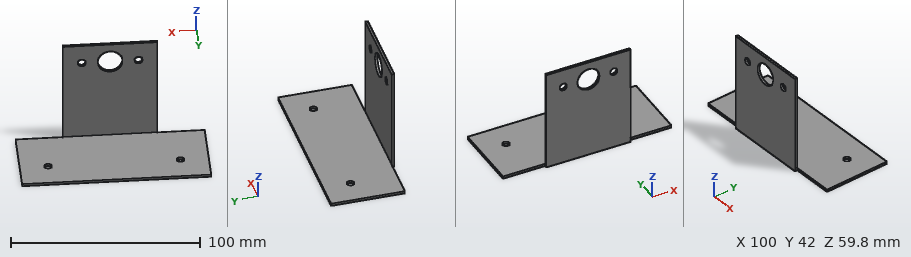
import cadquery as cq

base_length = 100.0
overall_depth = 42.0
overall_height = 59.8
sheet_thickness = 1.5

upright_width = 50.0

base_hole_diameter = 4.0
base_hole_spacing = 70.0
base_hole_from_back = 15.0

bore_diameter = 13.0
bore_below_top = 11.0
screw_hole_diameter = 4.2
screw_hole_spacing = 30.0


def corner_block(width, depth, height):
    """Block centered in X, starting at Y = 0 and Z = 0."""
    return cq.Workplane("XY").box(width, depth, height, centered=(True, False, False))


def mirrored_pair(spacing, other_coordinate):
    """Two points placed symmetrically about X = 0."""
    return [(side * spacing / 2, other_coordinate) for side in (-1, 1)]


def make_base():
    """Flat plate with two mounting holes and a front tab that carries the upright."""
    plate_depth = overall_depth - sheet_thickness
    plate = corner_block(base_length, plate_depth, sheet_thickness).translate((0, sheet_thickness, 0))
    tab = corner_block(upright_width, sheet_thickness, sheet_thickness)
    holes = (
        cq.Workplane("XY")
        .pushPoints(mirrored_pair(base_hole_spacing, overall_depth - base_hole_from_back))
        .circle(base_hole_diameter / 2)
        .extrude(sheet_thickness)
    )
    return plate.union(tab).cut(holes)


def make_upright():
    """Vertical plate standing on the tab, with a large bore and a screw hole on each side."""
    plate_height = overall_height - sheet_thickness
    plate = corner_block(upright_width, sheet_thickness, plate_height).translate((0, 0, sheet_thickness))
    bore_height = overall_height - bore_below_top
    bore = (
        cq.Workplane("XZ")
        .center(0, bore_height)
        .circle(bore_diameter / 2)
        .extrude(-sheet_thickness)
    )
    screw_holes = (
        cq.Workplane("XZ")
        .pushPoints(mirrored_pair(screw_hole_spacing, bore_height))
        .circle(screw_hole_diameter / 2)
        .extrude(-sheet_thickness)
    )
    return plate.cut(bore).cut(screw_holes)


result = make_base().union(make_upright())